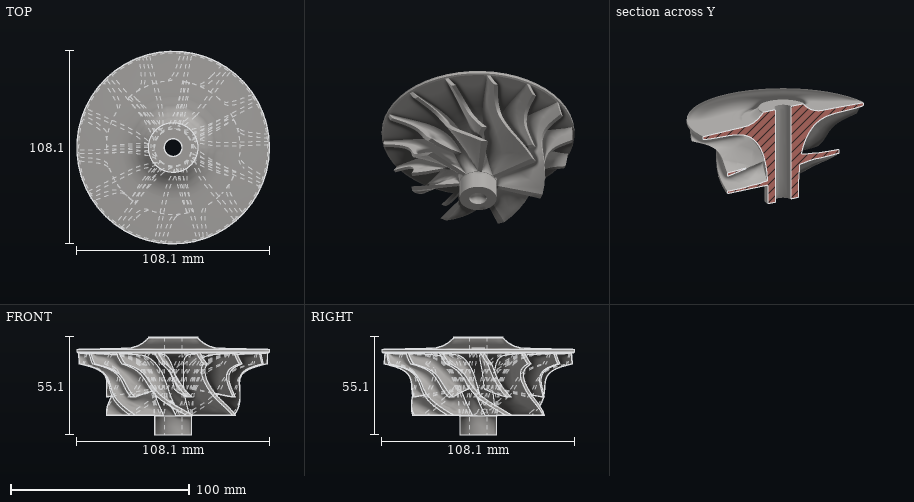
import cadquery as cq

import math

total_height = 55.06
rim_radius = 108.07 / 2
rim_top = 48.15
rim_bottom = 46.5
bore_radius = 4.9
nose_radius = 10.35
hub_start = 10.9
hub_start_radius = 10.6

boss_radius = 13.9
boss_land = 0.6
boss_foot = (19.7, 50.2)
flare_end = (28.3, 48.75)

exit_radius = 53.0
exit_hub_height = 46.0
hub_points = [(11.5, 21.3), (12.6, 26.5), (15.5, 34.0), (22.5, 41.8), (36.0, 45.2)]

blade_pairs = 7
pair_pitch = 360 / blade_pairs
splitter_offset = -pair_pitch / 2
root_thickness = 2.0
tip_thickness = 1.7

inlet_height = 11.1
tip_radius = 37.5
tip_curve_start = 28.0
tip_curve_middle = (42.0, 36.3)
tip_start_direction = (0, 1)
tip_exit_direction = (1, 0.25)
exit_tip_height = 40.0
splitter_tip_height = 21.3
splitter_root_height = 26.5

blade_wrap = [(9.0, 20.6), (11.1, 14.6), (15.0, 3.6), (19.0, -6.4), (23.5, -14.8), (28.0, -20.2),
              (32.0, -24.0), (36.0, -27.6), (40.0, -31.6), (43.5, -34.4), (47.0, -36.8)]

blank_inner_radius = 8.0
blank_outer_radius = 57.0
envelope_inner_radius = blank_inner_radius + 1


def revolved(profile):
    return profile.close().revolve(360, (0, 0, 0), (0, 1, 0))


def wheel_body():
    profile = (
        cq.Workplane("XZ")
        .moveTo(0, 0)
        .lineTo(nose_radius, 0)
        .lineTo(nose_radius, hub_start)
        .lineTo(hub_start_radius, hub_start)
        .spline(hub_points + [(exit_radius, exit_hub_height)], includeCurrent=True)
        .lineTo(rim_radius, rim_bottom)
        .lineTo(rim_radius, rim_top)
        .lineTo(*flare_end)
        .spline([boss_foot, (boss_radius, total_height - boss_land)], includeCurrent=True)
        .lineTo(boss_radius, total_height)
        .lineTo(0, total_height)
    )
    return revolved(profile)


def blade_envelope(root_height, tip_height):
    """Solid of revolution bounded by a straight leading edge, the tip line and the exit."""
    profile = (
        cq.Workplane("XZ")
        .moveTo(envelope_inner_radius, root_height)
        .lineTo(tip_radius, tip_height)
        .lineTo(tip_radius, tip_curve_start)
        .spline(
            [tip_curve_middle, (exit_radius, exit_tip_height)],
            tangents=[tip_start_direction, tip_exit_direction],
            includeCurrent=True,
        )
        .lineTo(exit_radius, rim_bottom)
        .lineTo(envelope_inner_radius, rim_bottom)
    )
    return revolved(profile)


def blade_section(index):
    """Radial four-sided blade section at one height, widened by the slope of the camber."""
    height, wrap = blade_wrap[index]
    below = blade_wrap[max(index - 1, 0)]
    above = blade_wrap[min(index + 1, len(blade_wrap) - 1)]
    slope = math.radians((above[1] - below[1]) / (above[0] - below[0]))
    angle = math.radians(wrap - 90)
    radial = cq.Vector(math.cos(angle), math.sin(angle), 0)
    across = cq.Vector(-math.sin(angle), math.cos(angle), 0)
    base = cq.Vector(0, 0, height)
    root = base + radial * blank_inner_radius
    tip = base + radial * blank_outer_radius
    root_half = across * (root_thickness / 2 * math.hypot(1, blank_inner_radius * slope))
    tip_half = across * (tip_thickness / 2 * math.hypot(1, blank_outer_radius * slope))
    corners = [root - root_half, tip - tip_half, tip + tip_half, root + root_half]
    return cq.Wire.makePolygon(corners, close=True)


def turned(body, angle):
    return body.rotate((0, 0, 0), (0, 0, 1), angle)


blade_blank = cq.Workplane(cq.Solid.makeLoft([blade_section(index) for index in range(len(blade_wrap))]))
full_blade = blade_blank.intersect(blade_envelope(inlet_height, inlet_height))
splitter = blade_blank.intersect(blade_envelope(splitter_root_height, splitter_tip_height))
splitter = turned(splitter, splitter_offset)

result = wheel_body()
for pair in range(blade_pairs):
    for blade in (full_blade, splitter):
        result = result.union(turned(blade, pair * pair_pitch))

bore = cq.Workplane("XY").circle(bore_radius).extrude(total_height)
result = result.cut(bore)